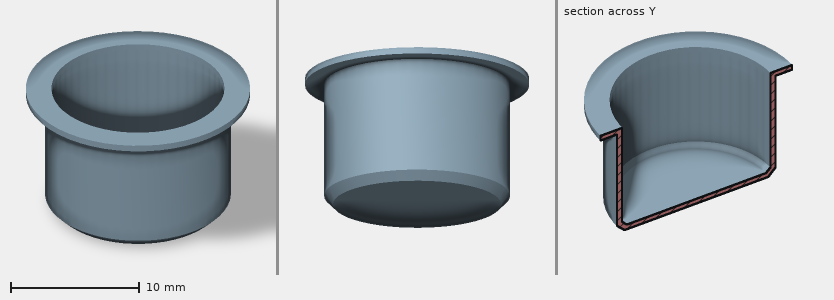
import cadquery as cq
import math

flange_diameter = 17.5
body_diameter = 14.5
bore_diameter = 13.5
height = 10.2
flange_thickness = 0.5
outer_chamfer = 0.7

wall = (body_diameter - bore_diameter) / 2
floor_thickness = wall
inner_chamfer = outer_chamfer - wall * (2 - math.sqrt(2))


def make_cup():
    """Closed-bottom cup body with a chamfered lower edge."""
    body = cq.Workplane("XY").circle(body_diameter / 2).extrude(height)
    return body.faces("<Z").edges().chamfer(outer_chamfer)


def make_flange():
    """Thin rim flush with the open end of the cup."""
    flange_bottom = height - flange_thickness
    return (
        cq.Workplane("XY")
        .workplane(offset=flange_bottom)
        .circle(flange_diameter / 2)
        .extrude(flange_thickness)
    )


def make_cavity():
    """Blind bore whose lower corner follows the outer chamfer."""
    bore_depth = height - floor_thickness
    bore = (
        cq.Workplane("XY")
        .workplane(offset=floor_thickness)
        .circle(bore_diameter / 2)
        .extrude(bore_depth)
    )
    return bore.faces("<Z").edges().chamfer(inner_chamfer)


result = make_cup().union(make_flange()).cut(make_cavity())